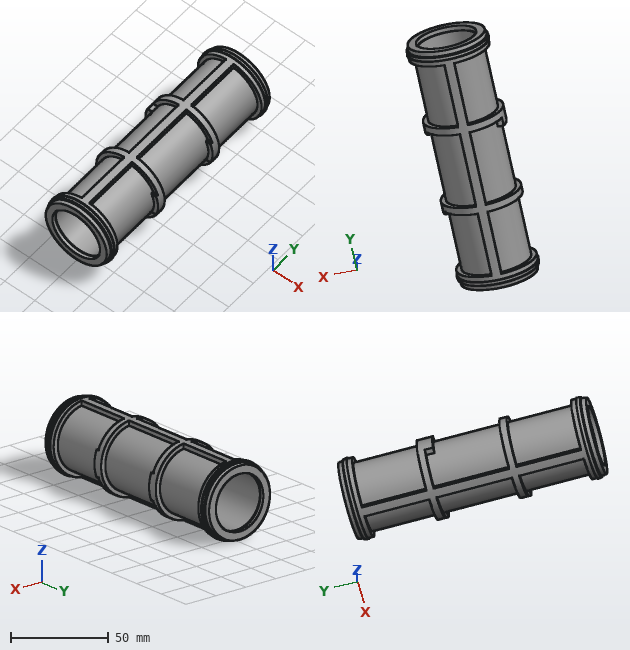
import cadquery as cq

length = 132.6
bore_diameter = 31.7
wall_outer_diameter = 36.9
relief_diameter = 32.5
bore_land_length = 2.8
frame_diameter = 42.4

collar_length = 7.7
lip_diameter = 43.4
lip_base_diameter = 42.8
lip_inner_edge = 4.9
shoulder_start = 2.5
shoulder_end = 2.9
nose_base_diameter = 41.6
nose_tip_diameter = 40.7

ring_width = 4.0
ring_inner_edge = 20.2
ring_outer_edge = ring_inner_edge + ring_width

rib_width = 5.2

left_pad_height = 16.2
left_pad_extension = 4.4
right_pad_height = 15.1
right_pad_extension = 1.5


def cylinder(diameter, y_start, y_end):
    """Solid cylinder on the Y axis between two Y positions."""
    circle = cq.Workplane("XZ", origin=(0, y_start, 0)).circle(diameter / 2)
    return circle.extrude(-(y_end - y_start))


def end_collar():
    """Stepped collar at the -Y end, turned about the Y axis."""
    end = -length / 2
    outline = [
        (0, end),
        (nose_tip_diameter / 2, end),
        (nose_base_diameter / 2, end + shoulder_start),
        (lip_base_diameter / 2, end + shoulder_end),
        (lip_diameter / 2, end + lip_inner_edge),
        (frame_diameter / 2, end + lip_inner_edge),
        (frame_diameter / 2, end + collar_length),
        (0, end + collar_length),
    ]
    return cq.Workplane("XY").polyline(outline).close().revolve(360, (0, 0, 0), (0, 1, 0))


def ribs():
    """Top and bottom ribs, with outer faces flush with the rings."""
    span = length - 2 * collar_length
    strip = cq.Workplane("XY").box(rib_width, span, frame_diameter)
    return strip.intersect(cylinder(frame_diameter, -span / 2, span / 2))


def pad(side, ring_edge, height, extension):
    """Pad on the -Y side of a ring, on the +X side (side = 1) or the -X side (side = -1)."""
    y_start = ring_edge - extension
    block = cq.Workplane("XY").box(frame_diameter / 2, extension, height)
    block = block.translate((side * frame_diameter / 4, y_start + extension / 2, 0))
    return block.intersect(cylinder(frame_diameter, y_start, ring_edge))


body = cylinder(wall_outer_diameter, -length / 2, length / 2)
collar = end_collar()
body = body.union(collar).union(collar.mirror("XZ")).union(ribs())

for ring_start in (ring_inner_edge, -ring_outer_edge):
    body = body.union(cylinder(frame_diameter, ring_start, ring_start + ring_width))
    body = body.union(pad(1, ring_start, right_pad_height, right_pad_extension))
body = body.union(pad(-1, ring_inner_edge, left_pad_height, left_pad_extension))

body = body.cut(cylinder(bore_diameter, -length / 2, length / 2))
relief_end = length / 2 - bore_land_length
result = body.cut(cylinder(relief_diameter, -relief_end, relief_end))